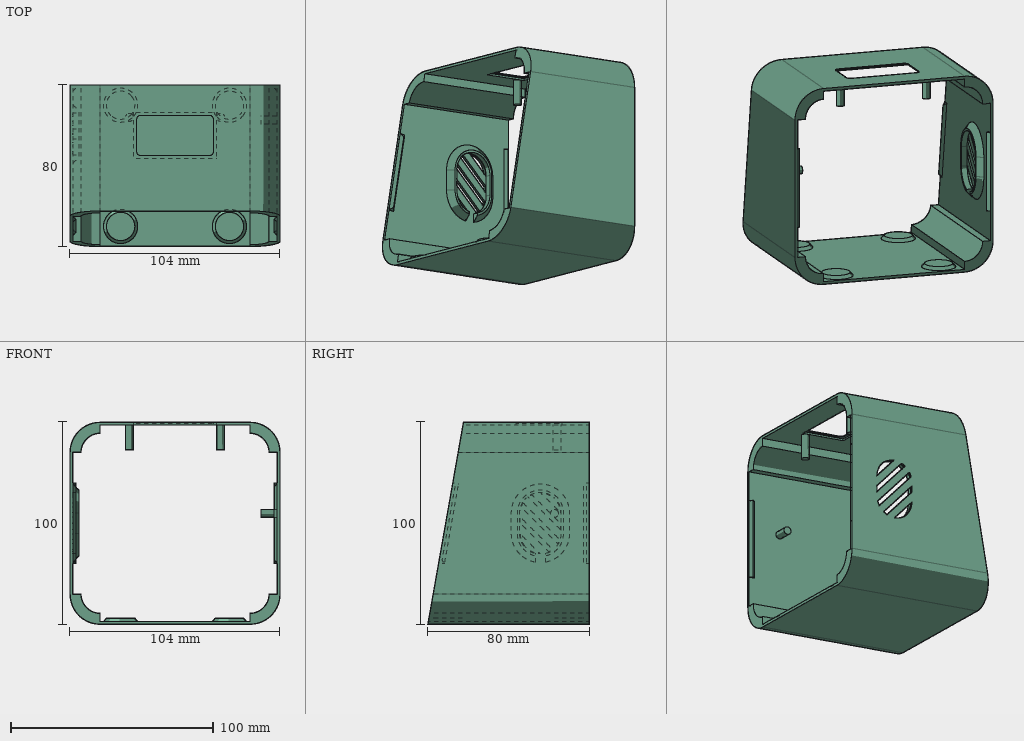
import cadquery as cq
import math

width = 104.0
depth = 80.0
height = 100.0
front_tilt = 10.0

wall = 1.5
corner_radius = 15.0
corner_inner_radius = 9.5
inner_x = width / 2 - wall
inner_z = height / 2 - wall

window_width = 38.0
window_depth = 20.0
window_y = -25.0
window_corner_radius = 2.0
window_lip = 0.5
window_seat_margin = 1.5

pin_diameter = 4.0
top_pin_x = 22.6
top_pin_y = -16.0
top_pin_length = 12.3
side_pin_y = -17.3
side_pin_z = 4.9
side_pin_length = 8.0

grille_width = 20.0
grille_height = 30.0
grille_y = -24.2
slat_width = 3.7
slat_pitch = 5.9
slat_count = 4
slat_angle = 45.0
collar_rim = 1.5
collar_height = 3.0
collar_clearance = 0.3
collar_notch_width = 5.0

pad_top_diameter = 14.0
pad_base_diameter = 17.0
pad_height = 1.7
pad_inset = 10.0
pad_x = 26.9

bead_length = 40.0
bead_height = 1.5
bead_root_x = inner_x + wall / 2
bead_ridge_x = inner_x - bead_height


def make_shell():
    """Rounded tube, its four corners thickened to a concentric inner arc."""
    straight_width = width - 2 * corner_radius
    straight_height = height - 2 * corner_radius
    outer = cq.Workplane("XZ").rect(width, height).extrude(depth).edges("|Y").fillet(corner_radius)
    between_sides = cq.Workplane("XZ").rect(2 * inner_x, straight_height).extrude(depth)
    between_floors = cq.Workplane("XZ").rect(straight_width, 2 * inner_z).extrude(depth)
    corner_bores = (
        cq.Workplane("XZ")
        .rect(straight_width, straight_height, forConstruction=True)
        .vertices()
        .circle(corner_inner_radius)
        .extrude(depth)
    )
    return outer.cut(between_sides).cut(between_floors).cut(corner_bores)


def lean_front(body):
    """Trim the front to a plane that leans back towards the top."""
    top_depth = depth - height * math.tan(math.radians(front_tilt))
    side_profile = (
        cq.Workplane("YZ")
        .polyline([(0, -height / 2), (-depth, -height / 2), (-top_depth, height / 2), (0, height / 2)])
        .close()
        .extrude(width / 2, both=True)
    )
    return body.intersect(side_profile)


def make_window():
    """Cutter for the window and the shallow seat below it."""
    opening = (
        cq.Workplane("XY", origin=(0, window_y, inner_z))
        .rect(window_width, window_depth)
        .extrude(wall)
        .edges("|Z")
        .fillet(window_corner_radius)
    )
    seat = (
        cq.Workplane("XY", origin=(0, window_y, inner_z))
        .rect(window_width + 2 * window_seat_margin, window_depth + 2 * window_seat_margin)
        .extrude(wall - window_lip)
    )
    return opening.union(seat)


def make_pins():
    """Two pins hanging from the top wall and one on the right wall."""
    root = wall / 2
    top_pins = (
        cq.Workplane("XY", origin=(0, top_pin_y, inner_z - top_pin_length))
        .pushPoints([(-top_pin_x, 0), (top_pin_x, 0)])
        .circle(pin_diameter / 2)
        .extrude(top_pin_length + root)
    )
    side_pin = (
        cq.Workplane("YZ", origin=(inner_x - side_pin_length, side_pin_y, side_pin_z))
        .circle(pin_diameter / 2)
        .extrude(side_pin_length + root)
    )
    return top_pins.union(side_pin)


def upright_slot(x, extra):
    """Stadium outline on the left wall, grown by extra all round."""
    return (
        cq.Workplane("YZ", origin=(x, grille_y, 0))
        .slot2D(grille_height + 2 * extra, grille_width + 2 * extra, 90)
    )


def make_collar():
    """Tapered ring around the grille, open at the bottom."""
    ring = upright_slot(-inner_x + collar_height, collar_rim).extrude(-collar_height, taper=-45)
    bore = upright_slot(-inner_x, collar_clearance).extrude(collar_height)
    notch = (
        cq.Workplane("XY", origin=(-inner_x, grille_y, 0))
        .rect(2 * collar_height, collar_notch_width)
        .extrude(-grille_height)
    )
    return ring.cut(bore).cut(notch)


def make_slats():
    """Diagonal slats, trimmed to the grille opening."""
    slats = cq.Workplane("YZ")
    for index in range(slat_count):
        offset = (index - (slat_count - 1) / 2) * slat_pitch
        slats = slats.union(
            cq.Workplane("YZ", origin=(-width / 2, grille_y, 0))
            .transformed(rotate=(0, 0, -slat_angle))
            .center(0, offset)
            .rect(2 * grille_height, slat_width)
            .extrude(wall)
        )
    return slats.intersect(upright_slot(-width / 2, 0).extrude(wall))


def make_pads():
    pad = cq.Workplane(cq.Solid.makeCone(pad_base_diameter / 2, pad_top_diameter / 2, pad_height))
    pads = cq.Workplane("XY")
    for x in (-pad_x, pad_x):
        for y in (-pad_inset, pad_inset - depth):
            pads = pads.union(pad.translate((x, y, -inner_z)))
    return pads


def make_bead(side):
    """Upright bead centred on Y = 0, its ridge pointing into the cavity."""
    return (
        cq.Workplane("XY", origin=(0, 0, -bead_length / 2))
        .polyline([
            (side * bead_root_x, -bead_height),
            (side * inner_x, -bead_height),
            (side * bead_ridge_x, 0),
            (side * inner_x, bead_height),
            (side * bead_root_x, bead_height),
        ])
        .close()
        .extrude(bead_length)
    )


def slope_bead_ends(bead, side):
    """Slope both ends at 45 degrees so that the ridge is shorter than the base."""
    half_base = bead_length / 2
    half_ridge = half_base - bead_height
    envelope = (
        cq.Workplane("XZ")
        .polyline([
            (side * bead_root_x, -half_base),
            (side * inner_x, -half_base),
            (side * bead_ridge_x, -half_ridge),
            (side * bead_ridge_x, half_ridge),
            (side * inner_x, half_base),
            (side * bead_root_x, half_base),
        ])
        .close()
        .extrude(bead_height, both=True)
    )
    return bead.intersect(envelope)


def make_beads(side):
    """Upright bead along the back edge and a leaning one along the front edge."""
    tilt = math.radians(front_tilt)
    mid_depth = depth - height / 2 * math.tan(tilt)
    front_inset = bead_height / math.cos(tilt)
    back_bead = make_bead(side).translate((0, -bead_height, 0))
    front_bead = (
        slope_bead_ends(make_bead(side), side)
        .rotate((0, 0, 0), (1, 0, 0), -front_tilt)
        .translate((0, front_inset - mid_depth, 0))
    )
    return back_bead.union(front_bead)


result = lean_front(make_shell())
result = result.cut(make_window())
result = result.cut(upright_slot(-width / 2, 0).extrude(wall))
result = result.union(make_pins()).union(make_collar())
result = result.union(make_slats()).union(make_pads())
for wall_side in (-1, 1):
    result = result.union(make_beads(wall_side))